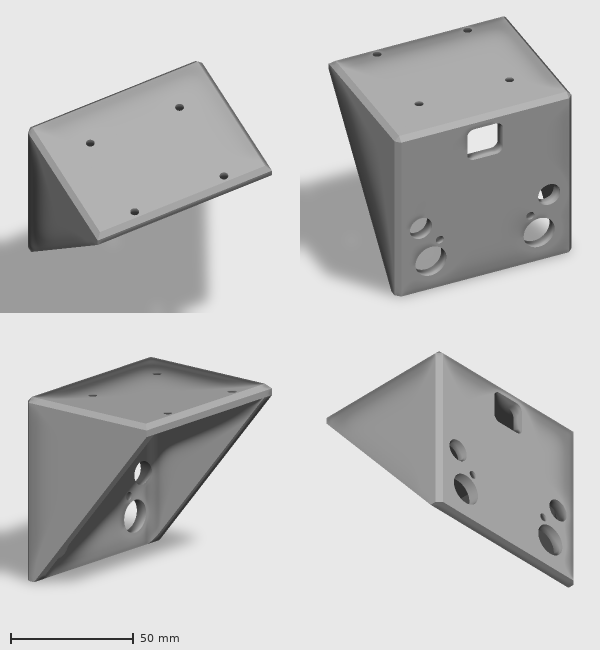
import cadquery as cq

depth = 65.0
width = 80.0
height = 78.0
wall = 5.0
chamfer = 2.1
inner_radius = 3.5

screw_diameter = 3.6
screw_spacing_y = 41.0
top_screw_xs = (19.9, 59.9)
upright_screw_z = 23.0

small_port_diameter = 10.0
small_port_spacing = 58.0
small_port_z = 31.0
large_port_diameter = 14.0
large_port_spacing = 49.0
large_port_z = 13.6
window_width = 16.0
window_height = 15.0
window_radius = 3.0


def hole_pair(spacing, z, diameter):
    """Cutters through the upright plate and its inside corners, mirrored about the centre plane."""
    return (
        cq.Workplane("YZ")
        .pushPoints([(-spacing / 2, z), (spacing / 2, z)])
        .circle(diameter / 2)
        .extrude(wall + inner_radius)
    )


body = (
    cq.Workplane("XZ", origin=(0, width / 2, 0))
    .moveTo(0, 0)
    .lineTo(wall, 0)
    .lineTo(depth, height - wall)
    .lineTo(depth, height)
    .lineTo(0, height)
    .close()
    .extrude(width)
)
body = body.edges(">Z or (<X and |Z)").chamfer(chamfer)

cavity = cq.Workplane("XY").box(depth, width - 2 * wall, height - wall, centered=(False, True, False))
cavity = cavity.edges("<X and |Z").fillet(inner_radius)
body = body.cut(cavity.translate((wall, 0, 0)))

top_screws = (
    cq.Workplane("XY", origin=(0, 0, height - wall))
    .pushPoints([(x, side * screw_spacing_y / 2) for x in top_screw_xs for side in (-1, 1)])
    .circle(screw_diameter / 2)
    .extrude(wall)
)
body = body.cut(top_screws)

body = body.cut(hole_pair(screw_spacing_y, upright_screw_z, screw_diameter))
body = body.cut(hole_pair(small_port_spacing, small_port_z, small_port_diameter))
body = body.cut(hole_pair(large_port_spacing, large_port_z, large_port_diameter))

window = (
    cq.Workplane("YZ", origin=(0, 0, height - wall - window_height / 2))
    .rect(window_width, window_height)
    .extrude(wall)
    .edges("|X")
    .fillet(window_radius)
)
result = body.cut(window)